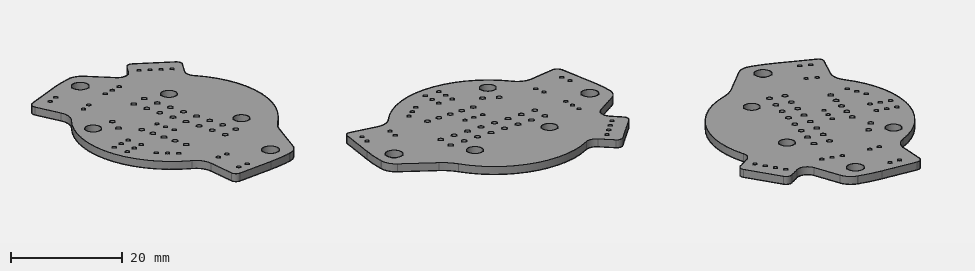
import cadquery as cq
import math

thickness = 1.6
half_width = 25.5

rim_radius = 18.0
upper_rim_center_y = 0.7
lower_rim_center_y = -1.0

shoulder_y = 2.85
side_bend_y = -1.45
ear_tip = (23.75, -12.35)
ear_upper_root_x = 16.0
ear_lower_root_x = 15.1

tab_rim_root_x = -10.15
tab_top = (-14.4, 19.7)
tab_left = (-21.4, 12.6)
tab_ear_root = (-17.1, 8.25)

shoulder_radius = 3.3
side_bend_radius = 30.6
right_ear_tip_radius = 1.0
left_ear_tip_radius = 1.3
ear_upper_root_radius = 8.15
ear_lower_root_radius = 3.55
tab_corner_radius = 1.1
tab_root_radius = 2.05

side_mount_diameter = 3.2
inner_mount_diameter = 3.0
pin_diameter = 1.0
ear_pin_diameter = 0.75
small_pin_diameter = 0.8

header_pitch = 3.0
servo_pitch = 2.55
small_pitch = 2.0
ear_pin_lean = 0.35


def upper_rim_point(x):
    return (x, upper_rim_center_y + math.sqrt(rim_radius**2 - x**2))


def lower_rim_point(x):
    return (x, lower_rim_center_y - math.sqrt(rim_radius**2 - x**2))


def mirrored(point):
    return (-point[0], point[1])


def pin_row(start, step, count):
    """Evenly stepped hole centres from start."""
    return [(start[0] + i * step[0], start[1] + i * step[1]) for i in range(count)]


shoulder = (half_width, shoulder_y)
side_bend = (half_width, side_bend_y)
ear_lower_root = lower_rim_point(ear_lower_root_x)
ear_upper_root = upper_rim_point(ear_upper_root_x)
tab_rim_root = upper_rim_point(tab_rim_root_x)


def make_blank():
    return (
        cq.Workplane("XY")
        .moveTo(*ear_upper_root)
        .lineTo(*shoulder)
        .lineTo(*side_bend)
        .lineTo(*ear_tip)
        .lineTo(*ear_lower_root)
        .threePointArc(lower_rim_point(0), mirrored(ear_lower_root))
        .lineTo(*mirrored(ear_tip))
        .lineTo(*mirrored(side_bend))
        .lineTo(*mirrored(shoulder))
        .lineTo(*tab_ear_root)
        .lineTo(*tab_left)
        .lineTo(*tab_top)
        .lineTo(*tab_rim_root)
        .threePointArc(upper_rim_point(0), ear_upper_root)
        .close()
        .extrude(thickness)
    )


def round_corners(plate, corners, radius):
    """Round the upright edges standing at the given outline corners."""
    for x, y in corners:
        nearest = cq.selectors.NearestToPointSelector((x, y, thickness / 2))
        plate = plate.edges("|Z").edges(nearest).fillet(radius)
    return plate


def drill(plate, centers, diameter):
    cutter = cq.Workplane("XY").pushPoints(centers).circle(diameter / 2).extrude(thickness)
    return plate.cut(cutter)


plate = make_blank()
plate = round_corners(plate, [shoulder, mirrored(shoulder)], shoulder_radius)
plate = round_corners(plate, [side_bend, mirrored(side_bend)], side_bend_radius)
plate = round_corners(plate, [ear_tip], right_ear_tip_radius)
plate = round_corners(plate, [mirrored(ear_tip)], left_ear_tip_radius)
plate = round_corners(plate, [ear_lower_root, mirrored(ear_lower_root)], ear_lower_root_radius)
plate = round_corners(plate, [ear_upper_root], ear_upper_root_radius)
plate = round_corners(plate, [tab_top, tab_left], tab_corner_radius)
plate = round_corners(plate, [tab_rim_root, tab_ear_root], tab_root_radius)

side_mount = (21.9, 0)
plate = drill(plate, [side_mount, mirrored(side_mount)], side_mount_diameter)
plate = drill(plate, [(-7.4, 7.35), (9.3, 7.35), (-8.6, -12.8)], inner_mount_diameter)

header_start = (-9.6, 0)
header_columns = 8
header_rows = 2
for row in range(header_rows):
    row_start = (header_start[0], header_start[1] + row * header_pitch)
    plate = drill(plate, pin_row(row_start, (header_pitch, 0), header_columns), pin_diameter)
plate = drill(plate, pin_row((-1.55, -7.7), (servo_pitch, 0), 5), pin_diameter)
plate = drill(plate, [(-7.8, -8.3), (-5.2, -9.8)], pin_diameter)

outer_pair = pin_row((22.45, -7.35), (-ear_pin_lean, -small_pitch), 2)
inner_pair = pin_row((16.95, -6.3), (-ear_pin_lean, -small_pitch), 2)
left_outer_pair = pin_row((-22.3, -6.55), (ear_pin_lean, -small_pitch), 2)
left_inner_pair = pin_row((-15.6, -5.35), (ear_pin_lean, -small_pitch), 2)
plate = drill(plate, outer_pair + inner_pair + left_outer_pair + left_inner_pair, ear_pin_diameter)

tab_pin_step = small_pitch / math.sqrt(2)
small_pins = pin_row((-13.7, 16.1), (-tab_pin_step, -tab_pin_step), 4)
small_pins += pin_row((-16.3, 4.25), (0, -small_pitch), 3)
small_pins += pin_row((-0.95, -4.1), (small_pitch, 0), 3)
small_pins += pin_row((6.75, -13.8), (1.65, 1.15), 3)
plate = drill(plate, small_pins, ear_pin_diameter)

for column_x in (-0.6, 2.4):
    plate = drill(plate, pin_row((column_x, -12.75), (0, -small_pitch), 3), small_pin_diameter)

result = plate